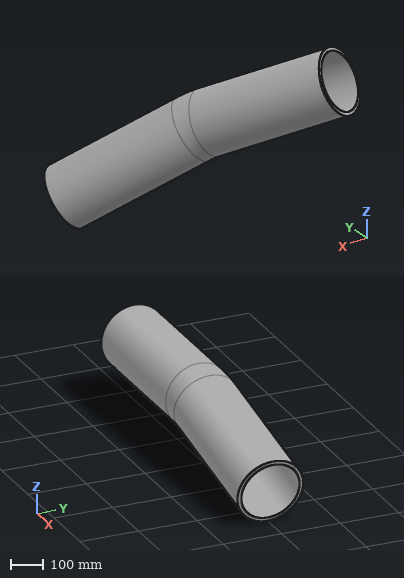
import cadquery as cq
import math

overall_length = 1071.0
outer_diameter = 225.0
bore_diameter = 198.0
inlet_length = 498.0
bend_radius = 325.0
bend_angle = 11.1

angle = math.radians(bend_angle)
outer_radius = outer_diameter / 2
bend_reach = (bend_radius + outer_radius) * math.sin(angle)
outlet_length = (overall_length - inlet_length - bend_reach) / math.cos(angle)


def point_on_bend(turned):
    """Centreline point (X, Z) after turning through an angle in radians."""
    x = inlet_length + bend_radius * math.sin(turned)
    z = -bend_radius * (1 - math.cos(turned))
    return x, z


bend_middle = point_on_bend(angle / 2)
bend_end = point_on_bend(angle)
outlet_end = (
    bend_end[0] + outlet_length * math.cos(angle),
    bend_end[1] - outlet_length * math.sin(angle),
)
centreline = (
    cq.Workplane("XZ")
    .moveTo(0, 0)
    .lineTo(inlet_length, 0)
    .threePointArc(bend_middle, bend_end)
    .lineTo(*outlet_end)
)

pipe_section = cq.Workplane("YZ").circle(outer_radius).circle(bore_diameter / 2)
result = pipe_section.sweep(centreline)